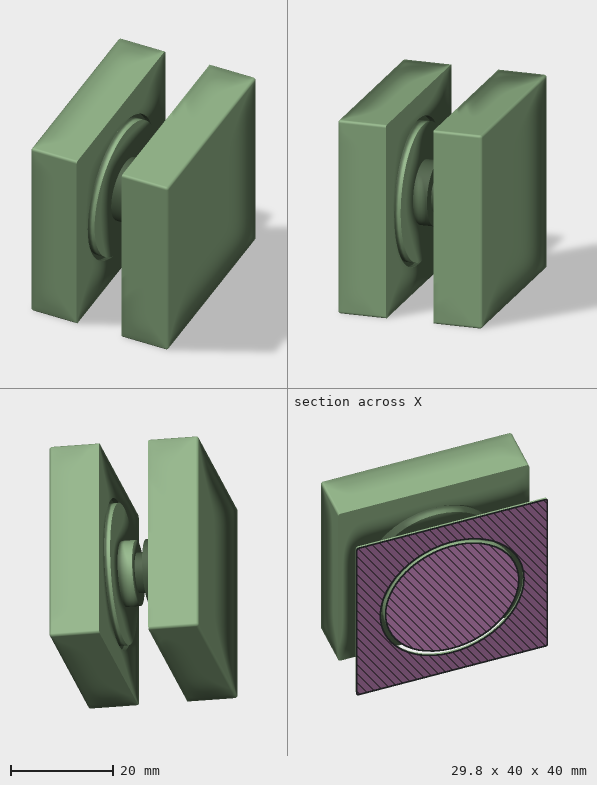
import cadquery as cq


knob_side = 40.0
knob_thickness = 10.0
knob_fillet = 0.5
recess_depth = 1.0
recess_clearance = 1.0

overall_length = 29.8

flange_diameter = 28.0
flange_thickness = 2.0
sleeve_diameter = 13.0

rod_diameter = 8.0
rod_length = 2.0

knob_inner_x = overall_length / 2 - knob_thickness
recess_floor_x = knob_inner_x + recess_depth
flange_inner_x = recess_floor_x - flange_thickness
sleeve_end_x = rod_length / 2


def disc(diameter, start_x, end_x):
    """Cylinder on the X axis from start_x to end_x."""
    return cq.Workplane("YZ", origin=(start_x, 0, 0)).circle(diameter / 2).extrude(end_x - start_x)


def make_knob():
    """Square +X block, rounded except around its inner face, which has a round recess for the flange."""
    block = (
        cq.Workplane("YZ", origin=(knob_inner_x, 0, 0))
        .rect(knob_side, knob_side)
        .extrude(knob_thickness)
    )
    rounded_block = block.edges("|X or >X").fillet(knob_fillet)
    recess = disc(flange_diameter + 2 * recess_clearance, knob_inner_x, recess_floor_x)
    return rounded_block.cut(recess)


def make_bushing():
    """Flange seated on the recess floor of the +X knob, with a sleeve reaching in towards the mid-plane."""
    flange = disc(flange_diameter, flange_inner_x, recess_floor_x)
    sleeve = disc(sleeve_diameter, sleeve_end_x, flange_inner_x)
    return flange.union(sleeve)


def make_rod():
    """Short rod that joins the ends of the two sleeves."""
    return disc(rod_diameter, -sleeve_end_x, sleeve_end_x)


knobs = []
bushings = []
for turn in (0, 180):
    knobs.append(make_knob().rotate((0, 0, 0), (0, 0, 1), turn))
    bushings.append(make_bushing().rotate((0, 0, 0), (0, 0, 1), turn))

rod = make_rod()

result = cq.Compound.makeCompound(
    [knob.val() for knob in knobs]
    + [bushing.val() for bushing in bushings]
    + [rod.val()]
)